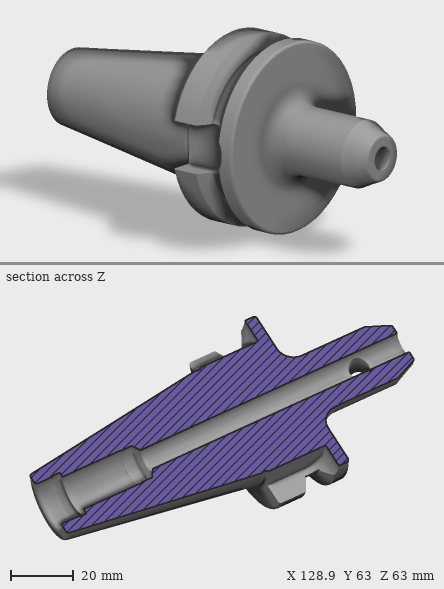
import cadquery as cq
import math


GAUGE_DIA = 44.45
TAPER_LENGTH = 65.4
TAPER_RATIO = 7 / 24
TAPER_END_DIA = GAUGE_DIA - TAPER_LENGTH * TAPER_RATIO
TAPER_END_ROUND = 1.0
NECK_DIA = 44.0
NECK_START = 0.8
NECK_FILLET = 0.5

FLANGE_DIA = 63.0
FLANGE_BACK = 2.0
FLANGE_FRONT = 27.0
FLANGE_EDGE_ROUND = 1.0
GROOVE_CENTRE = 16.6
GROOVE_TOP_WIDTH = 10.0
GROOVE_FLOOR_WIDTH = 5.0
GROOVE_FLOOR_DIA = 52.6
GROOVE_WALL_ANGLE = 60.0

SLOT_WIDTH = 16.1
SLOT_END = 23.0
SLOT_FLOOR_OFFSET = 22.6

NOSE_DIA = 22.35
NOSE_END = 63.5
NOSE_ROOT_FILLET = 6.0
NOSE_CONE_LENGTH = 8.0
NOSE_CONE_ANGLE = 24.7
NOSE_TIP_ROUND = 1.0

PILOT_DIA = 17.0
PILOT_MOUTH_ROUND = 1.0
PILOT_DEPTH = 6.0
RELIEF_DIA = 17.6
RELIEF_TAPER_LENGTH = 1.0
RELIEF_DEPTH = 9.0
TAP_HOLE_DIA = 13.84
TAP_HOLE_DEPTH = 30.0
DRILL_DIA = 13.5
DRILL_DEPTH = 34.0
DRILL_POINT_ANGLE = 118.0
TOOL_BORE_DIA = 7.94

SET_SCREW_DIA = 6.78
SET_SCREW_FROM_TIP = 16.0


def make_body():
    """Revolve the solid outer profile: taper, neck, flange and nose."""
    flange_r = FLANGE_DIA / 2
    groove_top_half = GROOVE_TOP_WIDTH / 2
    groove_floor_half = GROOVE_FLOOR_WIDTH / 2
    groove_floor_r = GROOVE_FLOOR_DIA / 2
    groove_wall_run = groove_top_half - groove_floor_half
    groove_wall_r = flange_r - groove_wall_run * math.tan(math.radians(GROOVE_WALL_ANGLE))
    taper_back = -TAPER_LENGTH
    neck_r = NECK_DIA / 2
    nose_r = NOSE_DIA / 2
    nose_root_r = nose_r + NOSE_ROOT_FILLET
    cone_start = NOSE_END - NOSE_CONE_LENGTH

    taper_angle = math.atan(TAPER_RATIO / 2)
    taper_tangent = TAPER_END_ROUND * math.tan((math.pi / 2 - taper_angle) / 2)
    taper_round_start_r = TAPER_END_DIA / 2 - taper_tangent
    taper_round_end = taper_back + taper_tangent * math.cos(taper_angle)
    taper_round_end_r = TAPER_END_DIA / 2 + taper_tangent * math.sin(taper_angle)

    cone_angle = math.radians(NOSE_CONE_ANGLE)
    tip_corner_r = nose_r - NOSE_CONE_LENGTH * math.tan(cone_angle)
    tip_tangent = NOSE_TIP_ROUND * math.tan((math.pi / 2 - cone_angle) / 2)
    tip_start = NOSE_END - tip_tangent * math.cos(cone_angle)
    tip_start_r = tip_corner_r + tip_tangent * math.sin(cone_angle)
    tip_end_r = tip_corner_r - tip_tangent

    return (
        cq.Workplane("XY")
        .moveTo(taper_back, 0)
        .lineTo(taper_back, taper_round_start_r)
        .radiusArc((taper_round_end, taper_round_end_r), TAPER_END_ROUND)
        .lineTo(0, GAUGE_DIA / 2)
        .lineTo(NECK_START, neck_r)
        .lineTo(FLANGE_BACK - NECK_FILLET, neck_r)
        .radiusArc((FLANGE_BACK, neck_r + NECK_FILLET), -NECK_FILLET)
        .lineTo(FLANGE_BACK, flange_r - FLANGE_EDGE_ROUND)
        .radiusArc((FLANGE_BACK + FLANGE_EDGE_ROUND, flange_r), FLANGE_EDGE_ROUND)
        .lineTo(GROOVE_CENTRE - groove_top_half, flange_r)
        .lineTo(GROOVE_CENTRE - groove_floor_half, groove_wall_r)
        .lineTo(GROOVE_CENTRE - groove_floor_half, groove_floor_r)
        .lineTo(GROOVE_CENTRE + groove_floor_half, groove_floor_r)
        .lineTo(GROOVE_CENTRE + groove_floor_half, groove_wall_r)
        .lineTo(GROOVE_CENTRE + groove_top_half, flange_r)
        .lineTo(FLANGE_FRONT - FLANGE_EDGE_ROUND, flange_r)
        .radiusArc((FLANGE_FRONT, flange_r - FLANGE_EDGE_ROUND), FLANGE_EDGE_ROUND)
        .lineTo(FLANGE_FRONT, nose_root_r)
        .radiusArc((FLANGE_FRONT + NOSE_ROOT_FILLET, nose_r), -NOSE_ROOT_FILLET)
        .lineTo(cone_start, nose_r)
        .lineTo(tip_start, tip_start_r)
        .radiusArc((NOSE_END, tip_end_r), NOSE_TIP_ROUND)
        .lineTo(NOSE_END, 0)
        .close()
        .revolve(360, (0, 0, 0), (1, 0, 0))
    )


def make_axial_bores():
    """Revolve the cavity: round-mouthed pilot, relief, tap hole, drill and tool bore."""
    pilot_r = PILOT_DIA / 2
    relief_r = RELIEF_DIA / 2
    tap_r = TAP_HOLE_DIA / 2
    drill_r = DRILL_DIA / 2
    bore_r = TOOL_BORE_DIA / 2
    back = -TAPER_LENGTH
    point_length = (drill_r - bore_r) / math.tan(math.radians(DRILL_POINT_ANGLE / 2))
    return (
        cq.Workplane("XY")
        .moveTo(back, 0)
        .lineTo(back, pilot_r + PILOT_MOUTH_ROUND)
        .radiusArc((back + PILOT_MOUTH_ROUND, pilot_r), -PILOT_MOUTH_ROUND)
        .lineTo(back + PILOT_DEPTH, pilot_r)
        .lineTo(back + PILOT_DEPTH + RELIEF_TAPER_LENGTH, relief_r)
        .lineTo(back + RELIEF_DEPTH, relief_r)
        .lineTo(back + RELIEF_DEPTH, tap_r)
        .lineTo(back + TAP_HOLE_DEPTH, tap_r)
        .lineTo(back + TAP_HOLE_DEPTH, drill_r)
        .lineTo(back + DRILL_DEPTH, drill_r)
        .lineTo(back + DRILL_DEPTH + point_length, bore_r)
        .lineTo(NOSE_END, bore_r)
        .lineTo(NOSE_END, 0)
        .close()
        .revolve(360, (0, 0, 0), (1, 0, 0))
    )


def make_drive_slot(side):
    """Flat-floored slot with a round front end; side is +1 for +Y, -1 for -Y."""
    half_width = SLOT_WIDTH / 2
    round_centre = SLOT_END - half_width
    depth = FLANGE_DIA / 2 - SLOT_FLOOR_OFFSET
    return (
        cq.Workplane("XZ", origin=(0, side * SLOT_FLOOR_OFFSET, 0))
        .moveTo(0, -half_width)
        .lineTo(round_centre, -half_width)
        .threePointArc((SLOT_END, 0), (round_centre, half_width))
        .lineTo(0, half_width)
        .close()
        .extrude(-side * depth)
    )


def make_set_screw_hole():
    """Radial hole from the axis out through the -Z side of the nose."""
    return (
        cq.Workplane("XY", origin=(NOSE_END - SET_SCREW_FROM_TIP, 0, 0))
        .circle(SET_SCREW_DIA / 2)
        .extrude(-NOSE_DIA)
    )


result = make_body().cut(make_axial_bores())
for slot_side in (1, -1):
    result = result.cut(make_drive_slot(slot_side))
result = result.cut(make_set_screw_hole())